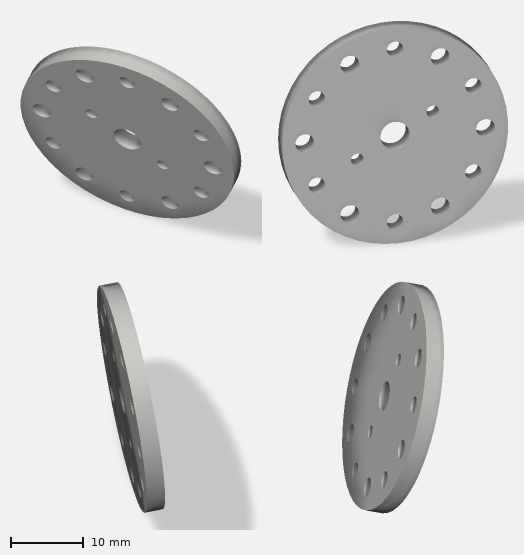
import cadquery as cq

disc_diameter = 31.75
disc_thickness = 2.55

bore_diameter = 4.1

ring_radius = 12.7
holes_per_size = 6
large_hole_diameter = 2.65
small_hole_diameter = 2.3
small_hole_start_angle = 180.0 / holes_per_size

pin_hole_count = 2
pin_hole_diameter = 1.78
pin_circle_radius = 6.13
pin_start_angle = -30.0


def cut_hole_ring(body, radius, start_angle, count, diameter):
    """Cut equally spaced through holes; angles run from +X towards +Z."""
    return (
        body.faces("<Y")
        .workplane(origin=(0, 0, 0))
        .polarArray(radius, start_angle, 360, count)
        .hole(diameter)
    )


result = cq.Workplane("XZ").circle(disc_diameter / 2).extrude(disc_thickness)
result = result.faces("<Y").workplane(origin=(0, 0, 0)).hole(bore_diameter)
result = cut_hole_ring(result, ring_radius, 0, holes_per_size, large_hole_diameter)
result = cut_hole_ring(result, ring_radius, small_hole_start_angle, holes_per_size, small_hole_diameter)
result = cut_hole_ring(result, pin_circle_radius, pin_start_angle, pin_hole_count, pin_hole_diameter)